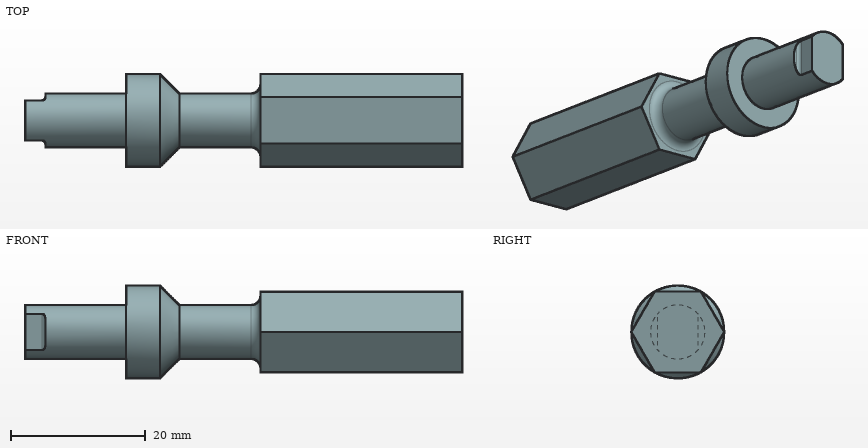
import cadquery as cq
import math

total_length = 65.0
collar_start = 15.0
collar_end = 20.0
hex_start = 35.0

shaft_diameter = 8.05
shaft_radius = shaft_diameter / 2
hex_across_corners = 13.85
collar_radius = hex_across_corners / 2
neck_fillet = 1.35

flat_thickness = 6.0
flat_length = 3.0
flat_fillet = 0.5


def turned_shaft():
    """Shaft with a collar, a 45 degree cone and a concave flare into the hexagon."""
    cone_end = collar_end + collar_radius - shaft_radius
    flare_start = hex_start - neck_fillet
    flare_radius = shaft_radius + neck_fillet
    arc_offset = neck_fillet * math.sqrt(0.5)
    flare_middle = (flare_start + arc_offset, flare_radius - arc_offset)
    return (
        cq.Workplane("XY")
        .moveTo(0, 0)
        .lineTo(0, shaft_radius)
        .lineTo(collar_start, shaft_radius)
        .lineTo(collar_start, collar_radius)
        .lineTo(collar_end, collar_radius)
        .lineTo(cone_end, shaft_radius)
        .lineTo(flare_start, shaft_radius)
        .threePointArc(flare_middle, (hex_start, flare_radius))
        .lineTo(hex_start, 0)
        .close()
        .revolve(360, (0, 0, 0), (1, 0, 0))
    )


def hexagon():
    """Hexagonal body with corners on +Y and -Y."""
    return (
        cq.Workplane("YZ", origin=(hex_start, 0, 0))
        .polygon(6, hex_across_corners)
        .extrude(total_length - hex_start)
    )


def flat_cutter(side):
    """Block that cuts one flat, with a rounded inner corner at its shoulder."""
    depth = shaft_radius
    return (
        cq.Workplane("XY")
        .box(flat_length, depth, 2 * shaft_radius, centered=(False, True, True))
        .translate((0, side * (flat_thickness + depth) / 2, 0))
        .edges(">X and " + ("<Y" if side > 0 else ">Y"))
        .fillet(flat_fillet)
    )


result = turned_shaft().union(hexagon())
for side in (-1, 1):
    result = result.cut(flat_cutter(side))